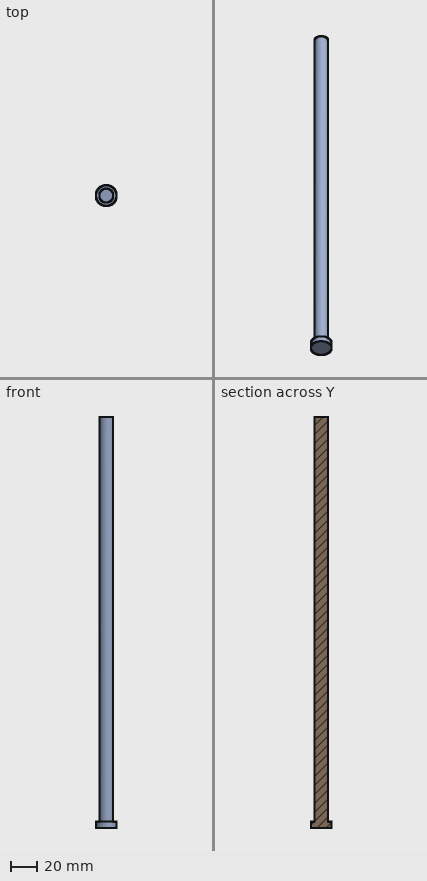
import cadquery as cq

total_length = 315.0
head_diameter = 16.0
head_height = 5.0
shank_diameter = 10.7

head = cq.Workplane("XY").circle(head_diameter / 2).extrude(head_height)
shank = cq.Workplane("XY").circle(shank_diameter / 2).extrude(total_length)

result = head.union(shank)